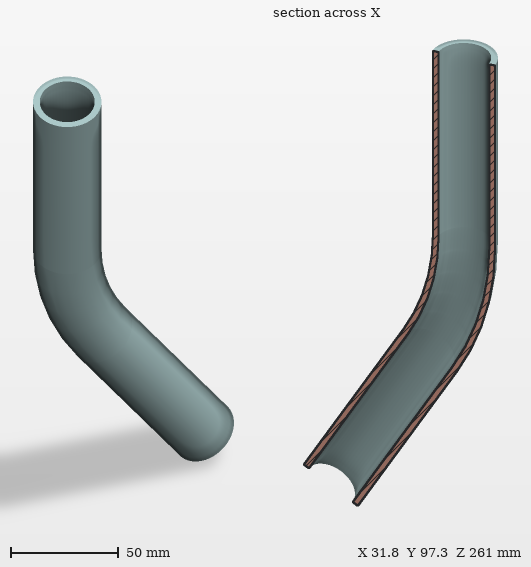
import cadquery as cq
import math

total_height = 261.0
outer_diameter = 31.8
inner_diameter = 25.5
bend_angle = 30.0
bend_radius = 128.2
lower_length = 101.0

angle = math.radians(bend_angle)
bend_drop = bend_radius * math.sin(angle)
bend_offset = bend_radius * (1 - math.cos(angle))
lower_drop = lower_length * math.cos(angle)
end_face_drop = outer_diameter / 2 * math.sin(angle)
upper_length = total_height - bend_drop - lower_drop - end_face_drop

bend_start = (0, -upper_length)
bend_middle = (
    bend_radius * (1 - math.cos(angle / 2)),
    -upper_length - bend_radius * math.sin(angle / 2),
)
bend_end = (bend_offset, -upper_length - bend_drop)
lower_end = (
    bend_end[0] + lower_length * math.sin(angle),
    bend_end[1] - lower_drop,
)

centerline = (
    cq.Workplane("YZ")
    .lineTo(*bend_start)
    .threePointArc(bend_middle, bend_end)
    .lineTo(*lower_end)
)

result = (
    cq.Workplane("XY")
    .circle(outer_diameter / 2)
    .circle(inner_diameter / 2)
    .sweep(centerline)
)